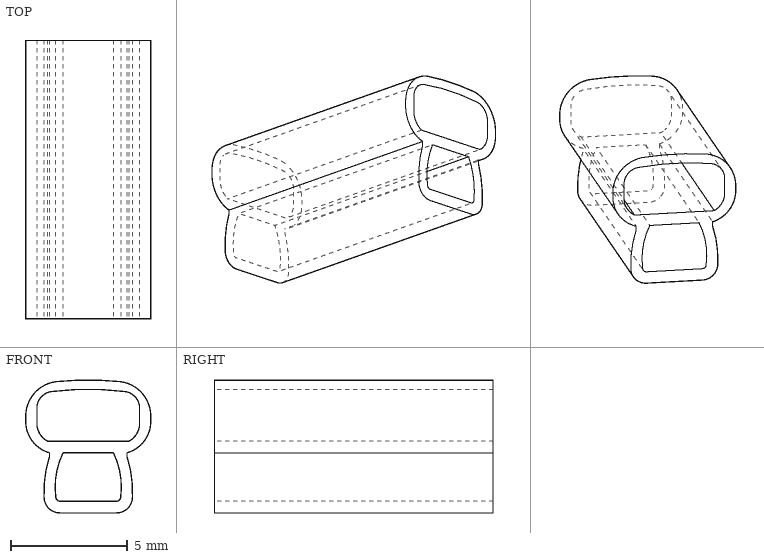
import cadquery as cq
import math

length = 12.0
height = 5.74
half_width = 2.7

crown_edge = (1.4, 5.66)
side_top = 4.16
side_bottom = 3.95
neck_half_width = 1.68
neck_top = 2.59
neck_bottom = 2.41

foot_half_width = 1.91
leg_mid = (1.87, 1.56)
foot_radius = 0.68
foot_corner_center = foot_half_width - foot_radius

upper_roof = 5.33
upper_roof_edge = (1.54, 5.23)
upper_shoulder_mid = (2.03, 4.99)
upper_half_width = 2.21
upper_side_top = 4.56
upper_side_bottom = 3.78
upper_corner_mid = (2.06, 3.38)
upper_floor_half_width = 1.75
upper_floor = 3.1

lower_roof_half_width = 1.08
lower_side_mid = (1.39, 1.56)
lower_floor = 0.52


def mirrored(point):
    """Reflect a profile point to the -X side."""
    return (-point[0], point[1])


def extrude_symmetric(start, segments, crown):
    """Extrude a symmetric profile along +Y.

    The +X side runs up from start through (arc midpoint or None, end point)
    segments. The crown is the middle of the arc joining both sides at the top,
    or None for a flat top. A straight bottom closes the profile.
    """
    profile = cq.Workplane("XZ").moveTo(*start)

    def add(mid, end):
        if mid is None:
            return profile.lineTo(*end)
        return profile.threePointArc(mid, end)

    for mid, end in segments:
        profile = add(mid, end)
    top_edge = segments[-1][1]
    profile = add(crown, mirrored(top_edge))

    ends = [start] + [end for _, end in segments[:-1]]
    for (mid, _), end in zip(reversed(segments), reversed(ends)):
        profile = add(mid and mirrored(mid), mirrored(end))
    return profile.close().extrude(-length)


def side_arc_mid(tangent_height, end):
    """Middle of the arc that leaves the vertical side tangentially and reaches end."""
    inset = half_width - end[0]
    rise = end[1] - tangent_height
    radius = (inset**2 + rise**2) / (2 * inset)
    center = half_width - radius
    half_angle = math.atan2(rise, end[0] - center) / 2
    return (center + radius * math.cos(half_angle), tangent_height + radius * math.sin(half_angle))


def foot_corner(radius):
    """Quarter circle about the foot corner center, as an (arc midpoint, end point) segment."""
    diagonal = radius * math.sqrt(0.5)
    return (
        (foot_corner_center + diagonal, foot_radius - diagonal),
        (foot_corner_center + radius, foot_radius),
    )


def outer_body():
    return extrude_symmetric(
        (foot_corner_center, 0),
        [
            foot_corner(foot_radius),
            (leg_mid, (neck_half_width, neck_bottom)),
            (None, (neck_half_width, neck_top)),
            (side_arc_mid(side_bottom, (neck_half_width, neck_top)), (half_width, side_bottom)),
            (None, (half_width, side_top)),
            (side_arc_mid(side_top, crown_edge), crown_edge),
        ],
        (0, height),
    )


def upper_cavity():
    return extrude_symmetric(
        (upper_floor_half_width, upper_floor),
        [
            (upper_corner_mid, (upper_half_width, upper_side_bottom)),
            (None, (upper_half_width, upper_side_top)),
            (upper_shoulder_mid, upper_roof_edge),
        ],
        (0, upper_roof),
    )


def lower_cavity():
    return extrude_symmetric(
        (foot_corner_center, lower_floor),
        [
            foot_corner(foot_radius - lower_floor),
            (lower_side_mid, (lower_roof_half_width, neck_top)),
        ],
        None,
    )


result = outer_body().cut(upper_cavity()).cut(lower_cavity())